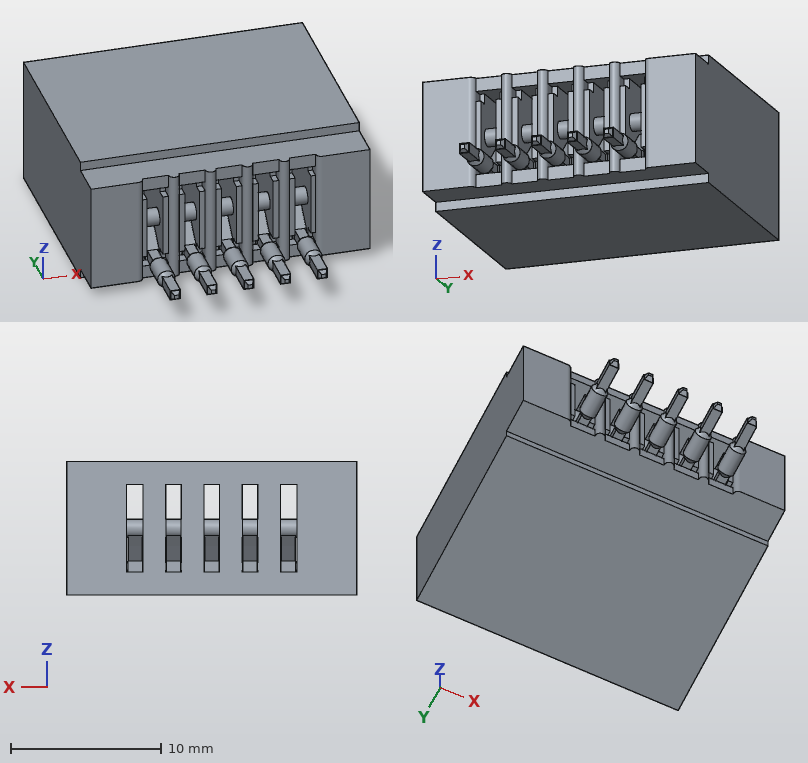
import cadquery as cq

TOTAL_LENGTH = 21.22
PIN_PROJECTION = 4.8
HOUSING_WIDTH = 19.3
HOUSING_HEIGHT = 8.9
HOUSING_DEPTH = TOTAL_LENGTH - PIN_PROJECTION

NOSE_HEIGHT = 7.62
NOSE_DEPTH = 2.59

CONTACT_COUNT = 5
CONTACT_PITCH = 2.55

RECESS_DEPTH = 0.38
RIB_WIDTH = 0.75
RECESS_WIDTH = CONTACT_PITCH - RIB_WIDTH

SLOT_WIDTH = 1.02
END_SLOT_EXTRA = 0.06
POCKET_DEPTH = 0.72

BAR_DIAMETER = 1.2
BAR_FRONT = 1.08

PIN_SIZE = 0.7
PIN_HEIGHT = -2.55
TIP_BASE_SIZE = 0.62
TIP_SIZE = 0.3
TIP_LENGTH = 0.35

COLLAR_SIZE = 1.19
COLLAR_FLAT = 0.08
COLLAR_START = -0.08
COLLAR_END = -2.6
COLLAR_BEVEL_LENGTH = 0.35

SPRING_WIDTH = 0.93
SPRING_BEND_Y = 2.12
SPRING_BEND_Z = -1.2
SPRING_END_Y = 2.93
SPRING_END_Z = -0.47
SPRING_THICKNESS = 0.3

SLOT_HEIGHT = 2 * (PIN_SIZE / 2 - PIN_HEIGHT)
PIN_TOP = PIN_HEIGHT + PIN_SIZE / 2
PIN_BOTTOM = PIN_HEIGHT - PIN_SIZE / 2
SPRING_START_Y = RECESS_DEPTH + POCKET_DEPTH
LAST = CONTACT_COUNT - 1
CONTACT_XS = [(i - LAST / 2) * CONTACT_PITCH for i in range(CONTACT_COUNT)]


def box(x_size, x_centre, y_start, y_end, z_size, z_centre):
    """Block given by its X and Z sizes and centres, and its Y limits."""
    block = cq.Workplane("XY").box(x_size, y_end - y_start, z_size)
    return block.translate((x_centre, (y_start + y_end) / 2, z_centre))


def housing_block():
    body = box(HOUSING_WIDTH, 0, NOSE_DEPTH, HOUSING_DEPTH, HOUSING_HEIGHT, 0)
    nose = box(HOUSING_WIDTH, 0, 0, NOSE_DEPTH, NOSE_HEIGHT, 0)
    return body.union(nose)


def face_recess(x):
    """Cutter for one recess, whose mouth is flared by the quarter-round sides of the ribs."""
    floor_half = RECESS_WIDTH / 2
    mouth_half = floor_half + RECESS_DEPTH
    bulge = RECESS_DEPTH * (1 - 0.5 ** 0.5)
    return (
        cq.Workplane("XY", origin=(x, 0, -NOSE_HEIGHT / 2))
        .moveTo(-floor_half, RECESS_DEPTH)
        .lineTo(floor_half, RECESS_DEPTH)
        .threePointArc((floor_half + bulge, bulge), (mouth_half, 0))
        .lineTo(-mouth_half, 0)
        .threePointArc((-floor_half - bulge, bulge), (-floor_half, RECESS_DEPTH))
        .close()
        .extrude(NOSE_HEIGHT)
    )


def contact_channel(index):
    """Cutter for one through channel with a pocket at its top and bottom."""
    x = CONTACT_XS[index]
    outward = {0: -1, LAST: 1}.get(index, 0)
    slot_width = SLOT_WIDTH + abs(outward) * END_SLOT_EXTRA
    slot_x = x + outward * END_SLOT_EXTRA / 2
    channel = box(slot_width, slot_x, 0, HOUSING_DEPTH, SLOT_HEIGHT, 0)
    for pocket_z in (PIN_HEIGHT, -PIN_HEIGHT):
        channel = channel.union(box(RECESS_WIDTH, x, 0, SPRING_START_Y, PIN_SIZE, pocket_z))
    return channel


def cross_bar():
    """Rod across the channels, ending inside the solid walls beyond the outermost ones."""
    radius = BAR_DIAMETER / 2
    half_length = CONTACT_PITCH * CONTACT_COUNT / 2
    section = cq.Workplane("YZ", origin=(-half_length, BAR_FRONT + radius, 0)).circle(radius)
    return section.extrude(2 * half_length)


def make_housing():
    housing = housing_block()
    for index, x in enumerate(CONTACT_XS):
        housing = housing.cut(face_recess(x)).cut(contact_channel(index))
    return housing.union(cross_bar())


def pin_shaft():
    tip_base_y = TIP_LENGTH - PIN_PROJECTION
    shaft = box(PIN_SIZE, 0, tip_base_y, SPRING_START_Y, PIN_SIZE, PIN_HEIGHT)
    tip = (
        cq.Workplane("XZ", origin=(0, tip_base_y, PIN_HEIGHT))
        .rect(TIP_BASE_SIZE, TIP_BASE_SIZE)
        .workplane(offset=TIP_LENGTH)
        .rect(TIP_SIZE, TIP_SIZE)
        .loft(combine=True)
    )
    return shaft.union(tip)


def collar():
    """Nearly round collar: a square with large corner rounds, bevelled down to the pin at both ends."""
    corner_radius = (COLLAR_SIZE - COLLAR_FLAT) / 2
    overhang = (COLLAR_SIZE - PIN_SIZE) / 2
    block = box(COLLAR_SIZE, 0, COLLAR_END, COLLAR_START, COLLAR_SIZE, PIN_HEIGHT)
    rounded = block.edges("|Y").fillet(corner_radius)
    return rounded.faces("<Y or >Y").chamfer(overhang, COLLAR_BEVEL_LENGTH)


def spring():
    """Strip that climbs from the pin in two slopes and ends behind the cross bar."""
    return (
        cq.Workplane("YZ", origin=(-SPRING_WIDTH / 2, 0, 0))
        .moveTo(SPRING_START_Y, PIN_BOTTOM)
        .lineTo(SPRING_START_Y, PIN_TOP)
        .lineTo(SPRING_BEND_Y, SPRING_BEND_Z)
        .lineTo(SPRING_END_Y, SPRING_END_Z)
        .lineTo(SPRING_END_Y + SPRING_THICKNESS, SPRING_END_Z)
        .lineTo(SPRING_BEND_Y + SPRING_THICKNESS, SPRING_BEND_Z)
        .lineTo(SPRING_START_Y + SPRING_THICKNESS, PIN_TOP)
        .lineTo(SPRING_START_Y + SPRING_THICKNESS, PIN_BOTTOM)
        .close()
        .extrude(SPRING_WIDTH)
    )


def make_contact(x):
    contact = pin_shaft().union(collar()).union(spring())
    return contact.translate((x, 0, 0))


housing = make_housing()
contacts = [make_contact(x) for x in CONTACT_XS]

result = cq.Compound.makeCompound([housing.val(), *[contact.val() for contact in contacts]])